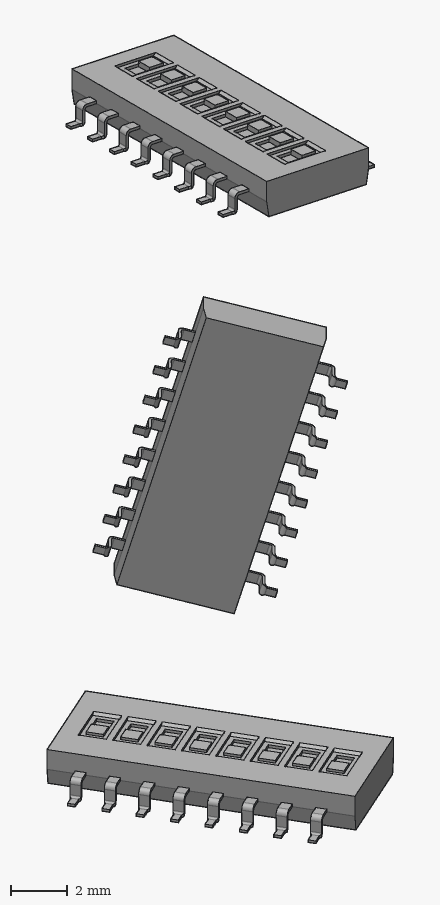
import cadquery as cq
import math

body_length = 11.39
body_width = 4.51
lead_span = 6.7
total_height = 1.51

body_base_z = 0.1
parting_z = 0.72
base_inset = 0.1

switch_count = 8
row_length = 8.9
pitch = row_length / (switch_count - 1)

window_width = 1.04
window_length = 1.81
window_depth = 0.1
end_slope_run = 0.11

slot_width = 0.64
slot_length = 1.21
slot_depth = 0.11

lead_thickness = 0.107
lead_width = 0.41
foot_width = 0.28
lead_top_z = parting_z + lead_thickness
leg_outer_y = 2.87
shoulder_radius = 0.2
heel_radius = 0.08
lead_root = 0.11

switch_positions = [(i - (switch_count - 1) / 2) * pitch for i in range(switch_count)]
floor_z = total_height - window_depth


def make_housing():
    """Housing whose two long sides draw in below the parting line."""
    half_top = body_width / 2
    half_base = half_top - base_inset
    section = [
        (-half_base, body_base_z),
        (half_base, body_base_z),
        (half_top, parting_z),
        (half_top, total_height),
        (-half_top, total_height),
        (-half_top, parting_z),
    ]
    return cq.Workplane("YZ").polyline(section).close().extrude(body_length / 2, both=True)


def make_window():
    """Cutter for one window: trapezoid along Y plus the slider slot below it."""
    half_top = window_length / 2
    half_floor = half_top - end_slope_run
    section = [
        (-half_floor, floor_z),
        (half_floor, floor_z),
        (half_top, total_height),
        (-half_top, total_height),
    ]
    window = cq.Workplane("YZ").polyline(section).close().extrude(window_width / 2, both=True)
    slot = cq.Workplane("XY").workplane(offset=floor_z - slot_depth).rect(slot_width, slot_length)
    return window.union(slot.extrude(slot_depth))


def make_actuator():
    """Actuator block filling the +Y half of the slot, flush with the top face."""
    base = cq.Workplane("XY").workplane(offset=floor_z - slot_depth)
    block = base.center(0, slot_length / 4).rect(slot_width, slot_length / 2)
    return block.extrude(slot_depth + window_depth)


def make_lead():
    """One lead on the +Y side: bent strip, narrowed across the heel to the foot."""
    root_y = body_width / 2 - lead_root
    tip_y = lead_span / 2
    leg_inner_y = leg_outer_y - lead_thickness
    inner_shoulder = shoulder_radius - lead_thickness
    outer_heel = heel_radius + lead_thickness
    foot_y = leg_outer_y + heel_radius
    diagonal = math.sqrt(0.5)

    shoulder_y = leg_outer_y - shoulder_radius
    shoulder_z = lead_top_z - shoulder_radius
    strip = (
        cq.Workplane("YZ")
        .moveTo(root_y, lead_top_z)
        .lineTo(shoulder_y, lead_top_z)
        .threePointArc(
            (shoulder_y + shoulder_radius * diagonal, shoulder_z + shoulder_radius * diagonal),
            (leg_outer_y, shoulder_z),
        )
        .lineTo(leg_outer_y, outer_heel)
        .threePointArc(
            (foot_y - heel_radius * diagonal, outer_heel - heel_radius * diagonal),
            (foot_y, lead_thickness),
        )
        .lineTo(tip_y, lead_thickness)
        .lineTo(tip_y, 0)
        .lineTo(foot_y, 0)
        .threePointArc(
            (foot_y - outer_heel * diagonal, outer_heel - outer_heel * diagonal),
            (leg_inner_y, outer_heel),
        )
        .lineTo(leg_inner_y, shoulder_z)
        .threePointArc(
            (shoulder_y + inner_shoulder * diagonal, shoulder_z + inner_shoulder * diagonal),
            (shoulder_y, parting_z),
        )
        .lineTo(root_y, parting_z)
        .close()
        .extrude(lead_width / 2, both=True)
    )

    outline = [
        (-lead_width / 2, root_y),
        (lead_width / 2, root_y),
        (lead_width / 2, leg_outer_y),
        (foot_width / 2, foot_y),
        (foot_width / 2, tip_y),
        (-foot_width / 2, tip_y),
        (-foot_width / 2, foot_y),
        (-lead_width / 2, leg_outer_y),
    ]
    return strip.intersect(cq.Workplane("XY").polyline(outline).close().extrude(total_height))


window = make_window()
actuator = make_actuator()
back_lead = make_lead()
front_lead = back_lead.mirror("XZ")

result = make_housing()
for x in switch_positions:
    place = cq.Vector(x, 0, 0)
    result = result.cut(window.translate(place))
    for feature in (actuator, back_lead, front_lead):
        result = result.union(feature.translate(place))